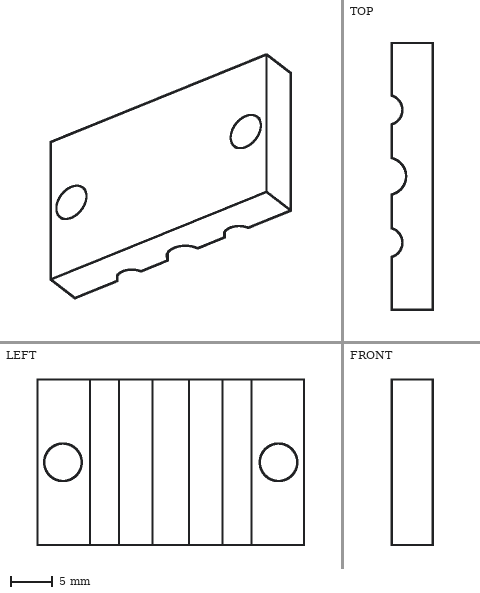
import cadquery as cq

thickness = 5.0
length = 32.2
height = 20.0
grooved_face_x = -thickness / 2

axis_standoff = 0.5
centre_groove_radius = 2.25
side_groove_radius = 1.8
side_groove_offset = 8.0

hole_diameter = 4.5
hole_offset = 13.0


def groove_cutter(radius, y):
    """Vertical cylinder that scoops a full-height groove into the grooved face."""
    axis_x = grooved_face_x - axis_standoff
    base = cq.Workplane("XY").workplane(offset=-height / 2)
    return base.center(axis_x, y).circle(radius).extrude(height)


def hole_cutter(y):
    """Cylinder along X that passes through the plate at mid-height."""
    base = cq.Workplane("YZ").workplane(offset=grooved_face_x)
    return base.center(y, 0).circle(hole_diameter / 2).extrude(thickness)


result = cq.Workplane("XY").box(thickness, length, height)
result = result.cut(groove_cutter(centre_groove_radius, 0))
for side in (-1, 1):
    result = result.cut(groove_cutter(side_groove_radius, side * side_groove_offset))
    result = result.cut(hole_cutter(side * hole_offset))